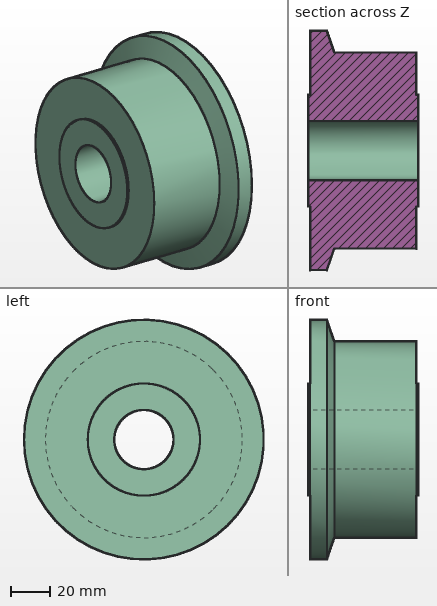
import cadquery as cq

overall_width = 56.0
flange_diameter = 122.0
flange_rim_width = 8.5
flange_taper_width = 3.8
tread_diameter = 100.0
hub_diameter = 57.1
hub_projection = 1.0
bore_diameter = 30.0

body_width = overall_width - 2 * hub_projection


def disc(diameter, start, width):
    """Solid cylinder along +X, beginning at the given X position."""
    return cq.Workplane("YZ", origin=(start, 0, 0)).circle(diameter / 2).extrude(width)


def wheel_body():
    """Flange rim, tapered flange face and cylindrical tread."""
    flange_radius = flange_diameter / 2
    tread_radius = tread_diameter / 2
    taper_start = hub_projection + flange_rim_width
    taper_end = taper_start + flange_taper_width
    body_end = hub_projection + body_width
    profile = (
        cq.Workplane("XY")
        .moveTo(hub_projection, 0)
        .lineTo(hub_projection, flange_radius)
        .lineTo(taper_start, flange_radius)
        .lineTo(taper_end, tread_radius)
        .lineTo(body_end, tread_radius)
        .lineTo(body_end, 0)
        .close()
    )
    return profile.revolve(360, (0, 0, 0), (1, 0, 0))


hub = disc(hub_diameter, 0, overall_width)
bore = disc(bore_diameter, 0, overall_width)

result = wheel_body().union(hub).cut(bore)